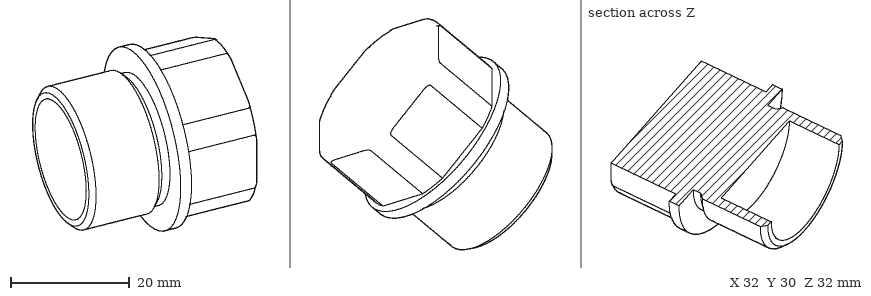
import cadquery as cq
import math

spigot_length = 15.0
flange_thickness = 2.0
head_length = 13.0
groove_width = 1.5

flange_diameter = 32.0
spigot_diameter = 25.0
groove_diameter = 23.16
bore_diameter = 21.0
bore_depth = 10.0

hex_sides = 6
hex_across_flats = 28.0
head_corner_diameter = 30.0
head_corner_fillet = 0.5

spigot_chamfer = (spigot_diameter - groove_diameter) / 2
head_end = flange_thickness + head_length


def revolve_about_y(profile):
    """Turn a closed (radius, Y) outline through a full circle about the Y axis."""
    return cq.Workplane("XY").polyline(profile).close().revolve(360, (0, 0, 0), (0, 1, 0))


def make_spigot_and_flange():
    """Chamfered spigot, undercut groove and flange, turned in one piece."""
    spigot_radius = spigot_diameter / 2
    groove_radius = groove_diameter / 2
    flange_radius = flange_diameter / 2
    return revolve_about_y([
        (0, -spigot_length),
        (spigot_radius - spigot_chamfer, -spigot_length),
        (spigot_radius, -spigot_length + spigot_chamfer),
        (spigot_radius, -groove_width - spigot_chamfer),
        (groove_radius, -groove_width),
        (groove_radius, 0),
        (flange_radius, 0),
        (flange_radius, flange_thickness),
        (0, flange_thickness),
    ])


def make_head():
    """Hexagon with flats facing +X and -X, cut to a filleted round at its corners."""
    half_side_angle = 180 / hex_sides
    across_corners = hex_across_flats / math.cos(math.pi / hex_sides)
    hexagon = (
        cq.Workplane("XZ", origin=(0, head_end, 0))
        .transformed(rotate=(0, 0, half_side_angle))
        .polygon(hex_sides, across_corners)
        .extrude(head_length)
    )
    corner_radius = head_corner_diameter / 2
    corner_round = (
        cq.Workplane("XZ", origin=(0, head_end, 0))
        .circle(corner_radius)
        .extrude(head_length)
        .faces(">Y")
        .edges()
        .fillet(head_corner_fillet)
    )
    return hexagon.intersect(corner_round)


def make_bore():
    """Blind, flat-bottomed bore entering from the spigot end."""
    return (
        cq.Workplane("XZ", origin=(0, bore_depth - spigot_length, 0))
        .circle(bore_diameter / 2)
        .extrude(bore_depth)
    )


result = make_spigot_and_flange().union(make_head()).cut(make_bore())